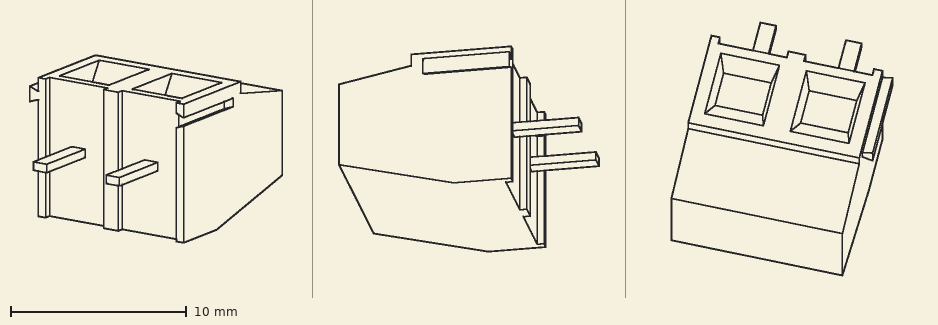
import cadquery as cq

pole_count = 2
body_width = 10.0
pitch = body_width / pole_count
total_depth = 13.5
pin_length = 3.5
body_depth = total_depth - pin_length
body_height = 8.2
pole_centers = [pitch * (i + 0.5) for i in range(pole_count)]

ledge_depth = 5.8
step_drop = 0.7
back_top_drop = 1.5
back_bottom_rise = 1.7
flat_bottom_depth = 3.33

recess_depth = 0.4
recess_width = 4.0

pin_width = 0.92
pin_height = 0.5

pocket_mouth_width = 3.43
pocket_mouth_front = 1.0
pocket_mouth_back = 5.02
pocket_floor_width = 2.78
pocket_floor_front = 1.69
pocket_floor_back = 3.83
pocket_depth = 1.0

dovetail_reach = 0.6
dovetail_length = 5.01
dovetail_outer_height = 0.92
dovetail_neck_height = 0.5
dovetail_center_drop = 1.05
dovetail_center_z = body_height - dovetail_center_drop


def make_body():
    """Housing cross-section extruded over the full width."""
    profile = [
        (0, 0),
        (flat_bottom_depth, 0),
        (body_depth, back_bottom_rise),
        (body_depth, body_height - back_top_drop),
        (ledge_depth, body_height - step_drop),
        (ledge_depth, body_height),
        (0, body_height),
    ]
    return cq.Workplane("YZ").polyline(profile).close().extrude(body_width)


def make_recess(center_x):
    """Full-height front recess of one pole."""
    return (
        cq.Workplane("XY")
        .center(center_x, recess_depth / 2)
        .rect(recess_width, recess_depth)
        .extrude(body_height)
    )


def make_pin(center_x):
    """Flat pin rooted in the recessed front face."""
    return (
        cq.Workplane("XZ", origin=(center_x, recess_depth, body_height / 2))
        .rect(pin_width, pin_height)
        .extrude(pin_length + recess_depth)
    )


def make_pocket(center_x):
    """Pocket tapering from its mouth in the top face to a smaller floor."""
    mouth_length = pocket_mouth_back - pocket_mouth_front
    mouth_center = (pocket_mouth_front + pocket_mouth_back) / 2
    floor_length = pocket_floor_back - pocket_floor_front
    floor_center = (pocket_floor_front + pocket_floor_back) / 2
    return (
        cq.Workplane("XY", origin=(center_x, mouth_center, body_height))
        .rect(pocket_mouth_width, mouth_length)
        .workplane(offset=-pocket_depth)
        .center(0, floor_center - mouth_center)
        .rect(pocket_floor_width, floor_length)
        .loft(ruled=True)
    )


def make_dovetail(side_x):
    """Dovetail bar with its neck at side_x, widening toward -X."""
    half_outer = dovetail_outer_height / 2
    half_neck = dovetail_neck_height / 2
    profile = [
        (0, -half_neck),
        (-dovetail_reach, -half_outer),
        (-dovetail_reach, half_outer),
        (0, half_neck),
    ]
    return (
        cq.Workplane("XZ", origin=(side_x, 0, dovetail_center_z))
        .polyline(profile)
        .close()
        .extrude(-dovetail_length)
    )


result = make_body()
for pole_x in pole_centers:
    result = result.cut(make_recess(pole_x))
    result = result.cut(make_pocket(pole_x))
    result = result.union(make_pin(pole_x))

result = result.union(make_dovetail(0))
result = result.cut(make_dovetail(body_width))